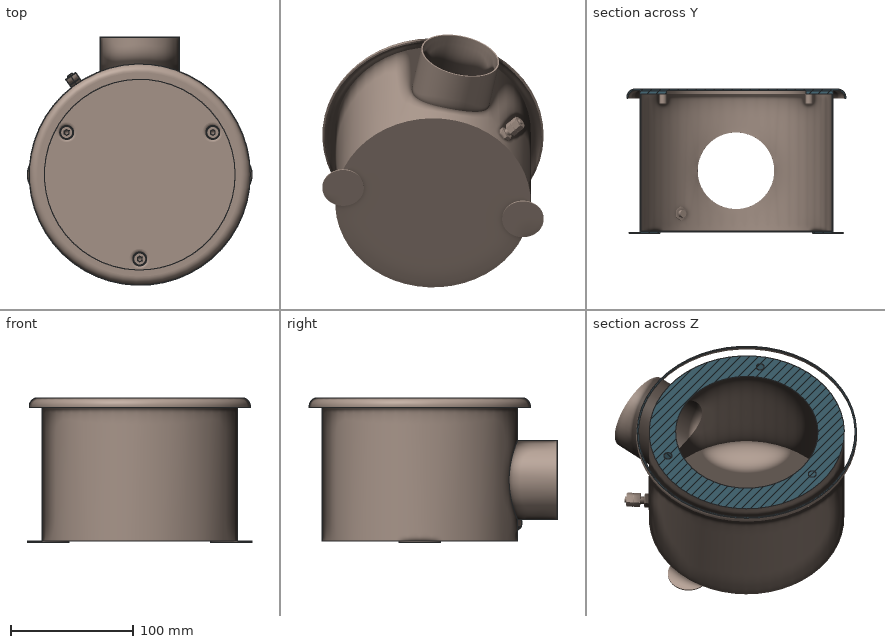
import cadquery as cq
import math

shell_wall = 1.2
lid_wall = 1.5

foot_diameter = 34.0
foot_thickness = 1.2
foot_offset = 75.0

drum_diameter = 160.0
drum_bore = drum_diameter - 2 * shell_wall
rim_opening = 116.0
rim_thickness = 3.0
pipe_diameter = 65.0
pipe_bore = pipe_diameter - 2 * shell_wall
pipe_reach = 112.5
pipe_axis_height = 51.15

overall_height = 118.4
lid_diameter = 181.0
lid_bore = lid_diameter - 2 * lid_wall
lid_height = 8.0
lid_edge_radius = 7.0
panel_diameter = 156.0

screw_circle_radius = 69.0
screw_angles = (30, 150, 270)
dimple_diameter = 16.3
dimple_wall_angle = 40.0
screw_sink = 0.2
screw_head_diameter = 11.34
screw_shank_diameter = 6.0
screw_length = 12.0
socket_width = 4.0
socket_depth = 2.0
socket_turn = 30.0
socket_tip_depth = 1.0

terminal_angle = 125.0
terminal_height = 16.1
stud_diameter = 6.0
stud_inner_end = 75.0
stud_tip_diameter = 4.92
stud_outer_end = 99.8
nut_width = 10.0
nut_face_diameter = 10.0
nut_face_thickness = 0.4
wall_nut_start = 78.0
wall_nut_end = 83.9
clamp_nut_start = 87.1
clamp_nut_length = 5.7
clamp_nut_count = 2

clamp_nut_end = clamp_nut_start + clamp_nut_count * clamp_nut_length
drum_bottom = foot_thickness
lid_bottom = overall_height - lid_height
drum_top = overall_height - lid_wall
screw_top = overall_height - screw_sink
socket_corners = socket_width / math.cos(math.pi / 6)
nut_corners = nut_width / math.cos(math.pi / 6)


def disc(diameter, bottom, top):
    """Upright cylinder on the Z axis between two heights."""
    return cq.Workplane("XY").workplane(offset=bottom).circle(diameter / 2).extrude(top - bottom)


def pipe_cylinder(diameter):
    """Horizontal cylinder from the drum axis to the pipe's open end."""
    plane = cq.Workplane("XZ").center(0, pipe_axis_height)
    return plane.circle(diameter / 2).extrude(-pipe_reach)


def along_terminal(shape):
    """Turn a shape built on +Z so that it points out along the terminal axis."""
    shape = shape.rotate((0, 0, 0), (0, 1, 0), 90)
    shape = shape.rotate((0, 0, 0), (0, 0, 1), terminal_angle)
    return shape.translate((0, 0, terminal_height))


def nut(start, end):
    """Hexagonal nut along +Z with a thin round face at its outer end."""
    hexagon_end = end - nut_face_thickness
    plane = cq.Workplane("XY").workplane(offset=start)
    hexagon = plane.polygon(6, nut_corners).extrude(hexagon_end - start)
    return hexagon.union(disc(nut_face_diameter, hexagon_end, end))


def make_terminal():
    """Stud with a narrower tip, one nut at the drum and clamping nuts further out."""
    terminal = disc(stud_diameter, stud_inner_end, clamp_nut_end)
    terminal = terminal.union(disc(stud_tip_diameter, clamp_nut_end, stud_outer_end))
    terminal = terminal.union(nut(wall_nut_start, wall_nut_end))
    for i in range(clamp_nut_count):
        start = clamp_nut_start + i * clamp_nut_length
        terminal = terminal.union(nut(start, start + clamp_nut_length))
    return along_terminal(terminal)


def make_screw():
    """Countersunk screw hanging down from the origin, without its socket."""
    head = screw_head_diameter / 2
    shank = screw_shank_diameter / 2
    outline = [(0, 0), (head, 0), (shank, shank - head), (shank, -screw_length), (0, -screw_length)]
    return cq.Workplane("XZ").polyline(outline).close().revolve(360, (0, 0), (0, 1))


def make_socket():
    """Hexagonal key socket with a conical bottom."""
    hexagon = cq.Workplane("XY").polygon(6, socket_corners).extrude(-socket_depth)
    hexagon = hexagon.rotate((0, 0, 0), (0, 0, 1), socket_turn)
    bottom = cq.Vector(0, 0, -socket_depth)
    tip = cq.Solid.makeCone(socket_width / 2, 0, socket_tip_depth, bottom, cq.Vector(0, 0, -1))
    return hexagon.union(cq.Workplane(obj=tip))


def make_dimple():
    """Round recess whose wall curves over from the lid face to its steepest slope at the screw head."""
    outer = dimple_diameter / 2
    inner = screw_head_diameter / 2
    angle = math.radians(dimple_wall_angle)
    radius = (outer - inner) / math.sin(angle)
    middle = (outer - radius * math.sin(angle / 2), -radius * (1 - math.cos(angle / 2)))
    floor = -radius * (1 - math.cos(angle))
    outline = cq.Workplane("XZ").moveTo(0, 0).lineTo(outer, 0)
    outline = outline.threePointArc(middle, (inner, floor)).lineTo(0, floor).close()
    return outline.revolve(360, (0, 0), (0, 1))


def at_screws(shape, height):
    """Copies of a shape at the screw positions, raised to a height."""
    placed = []
    for angle in screw_angles:
        x = screw_circle_radius * math.cos(math.radians(angle))
        y = screw_circle_radius * math.sin(math.radians(angle))
        placed.append(shape.translate((x, y, height)))
    return placed


def make_lid():
    """Thin cap with a rounded rim, before it is split into ring and panel."""
    cap = disc(lid_diameter, lid_bottom, overall_height).faces(">Z").edges().fillet(lid_edge_radius)
    inner = disc(lid_bore, lid_bottom, drum_top).faces(">Z").edges().fillet(lid_edge_radius - lid_wall)
    return cap.cut(inner)


def make_housing():
    """Hollow drum with a closed bottom, an inward rim at the top and an open side pipe."""
    housing = disc(drum_diameter, drum_bottom, drum_top).union(pipe_cylinder(pipe_diameter))
    housing = housing.cut(disc(drum_bore, drum_bottom + shell_wall, drum_top - rim_thickness))
    housing = housing.cut(disc(rim_opening, drum_bottom + shell_wall, drum_top))
    return housing.cut(pipe_cylinder(pipe_bore))


def make_feet():
    foot = disc(foot_diameter, 0, foot_thickness)
    return [foot.translate((side * foot_offset, 0, 0)) for side in (-1, 1)]


feet = make_feet()
terminal = make_terminal()
housing = make_housing().cut(terminal)

lid = make_lid()
for hole in at_screws(make_screw(), screw_top):
    housing = housing.cut(hole)
    lid = lid.cut(hole)
for dimple in at_screws(make_dimple(), overall_height):
    lid = lid.cut(dimple)
screws = at_screws(make_screw().cut(make_socket()), screw_top)

panel_space = disc(panel_diameter, lid_bottom, overall_height)
lid_panel = lid.intersect(panel_space)
lid_ring = lid.cut(panel_space)

bodies = [housing, lid_ring, lid_panel, terminal, *screws, *feet]
result = cq.Compound.makeCompound([body.val() for body in bodies])